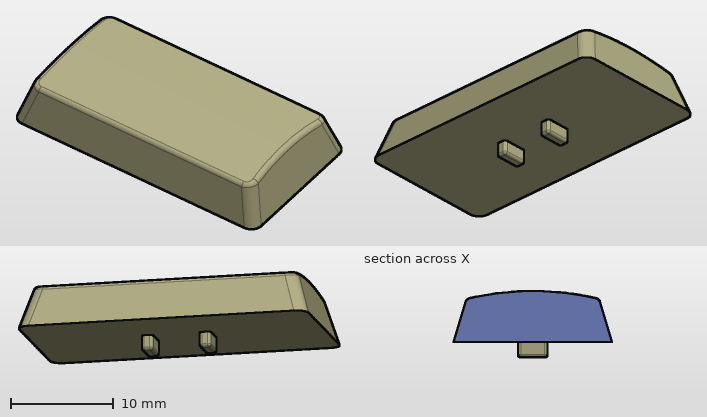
import cadquery as cq
import math

body_length = 29.0
body_width = 15.5
body_height = 5.0
side_inset = 1.5
corner_radius = 1.25
top_edge_radius = 0.6
crown_radius = 27.0

leg_spacing = 5.8
leg_thickness = 1.15
leg_width = 2.9
leg_height = 1.5
leg_edge_radius = 0.3

draft_angle = math.degrees(math.atan2(side_inset, body_height))


def make_body():
    """Drafted block with rounded corners, a crowned top and a rounded top rim."""
    block = cq.Workplane("XY").rect(body_length, body_width).extrude(body_height, taper=draft_angle)
    block = block.edges("not(|X or |Y)").fillet(corner_radius)

    crown = (
        cq.Workplane("YZ")
        .center(0, body_height - crown_radius)
        .circle(crown_radius)
        .extrude(body_length / 2, both=True)
    )
    body = block.intersect(crown)
    return body.faces(">Z").edges().fillet(top_edge_radius)


def make_leg(x_center):
    """Upright leg below the body, rounded on its vertical and lower edges."""
    leg = (
        cq.Workplane("XY")
        .center(x_center, 0)
        .rect(leg_thickness, leg_width)
        .extrude(-leg_height)
    )
    return leg.edges("|Z or <Z").fillet(leg_edge_radius)


result = make_body()
for side in (-1, 1):
    result = result.union(make_leg(side * leg_spacing / 2))